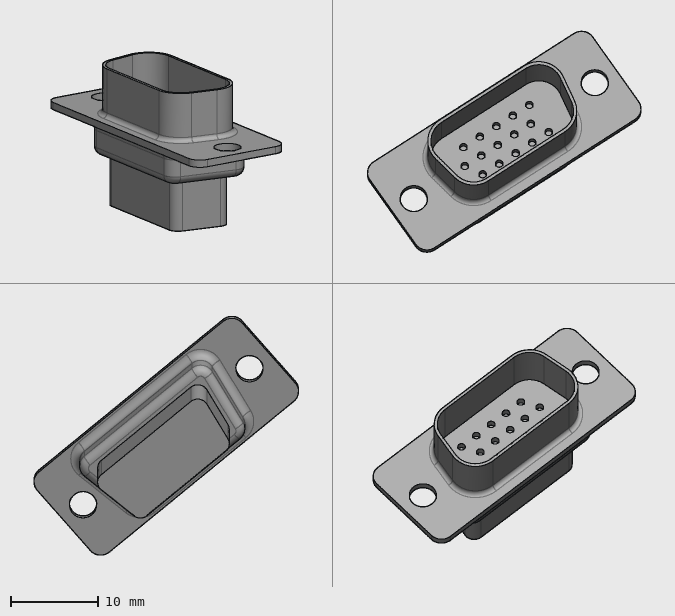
import cadquery as cq
import math

SHELL_TOP = 5.8
CAVITY_FLOOR = -0.05
FLANGE_THICKNESS = 0.85
FLANGE_BOTTOM = -FLANGE_THICKNESS
BODY_BOTTOM = -4.93
PLUG_BOTTOM = -10.9

FLANGE_LENGTH = 30.8
FLANGE_WIDTH = 12.5
FLANGE_CORNER_RADIUS = 1.55
MOUNT_SPACING = 25.0
MOUNT_DIAMETER = 3.1

DRAFT_ANGLE = 10
SHELL_WIDTH, SHELL_DEPTH, SHELL_CORNER = 17.77, 9.2, 3.05
BODY_WIDTH, BODY_DEPTH, BODY_CORNER = 19.25, 9.95, 1.55
PLUG_WIDTH, PLUG_DEPTH, PLUG_CORNER = 15.85, 7.1, 1.2
SHELL_WALL = 0.37
SHELL_FILLET = 0.55
BODY_FILLET = 1.02

CONTACT_DIAMETER = 0.85
CONTACT_DEPTH = 0.85
CONTACT_PITCH = 2.28
CONTACTS_PER_ROW = 5
ROW_PITCH = 1.97
OUTER_ROW_X = 0.25
MIDDLE_ROW_X = OUTER_ROW_X - CONTACT_PITCH / 2


def d_section(width, depth, radius, bottom, top):
    """Prism with a D-connector outline: a rounded trapezoid, wider towards +Y."""
    center_y = depth / 2 - radius
    upper_center_x = width / 2 - radius
    lower_center_x = upper_center_x - 2 * center_y * math.tan(math.radians(DRAFT_ANGLE))
    corner_centers = [
        (-upper_center_x, center_y),
        (upper_center_x, center_y),
        (lower_center_x, -center_y),
        (-lower_center_x, -center_y),
    ]
    plane = cq.Workplane("XY", origin=(0, 0, bottom))
    return plane.polyline(corner_centers).close().offset2D(radius).extrude(top - bottom)


def fillet_joint(solid, z, radius):
    """Fillet the inner edges lying at height z, leaving the flange outline sharp."""
    half_x = (FLANGE_LENGTH - MOUNT_DIAMETER) / 2
    margin = 0.03
    half_y = FLANGE_WIDTH / 2 - margin
    joint = cq.selectors.BoxSelector((-half_x, -half_y, z - margin), (half_x, half_y, z + margin))
    return solid.edges(joint).fillet(radius)


def flange():
    plate = cq.Workplane("XY", origin=(0, 0, FLANGE_BOTTOM)).rect(FLANGE_LENGTH, FLANGE_WIDTH)
    return plate.extrude(FLANGE_THICKNESS).edges("|Z").fillet(FLANGE_CORNER_RADIUS)


def body():
    block = d_section(BODY_WIDTH, BODY_DEPTH, BODY_CORNER, BODY_BOTTOM, FLANGE_BOTTOM)
    return block.faces("<Z").edges().fillet(BODY_FILLET)


def shell_cavity():
    return d_section(
        SHELL_WIDTH - 2 * SHELL_WALL,
        SHELL_DEPTH - 2 * SHELL_WALL,
        SHELL_CORNER - SHELL_WALL,
        CAVITY_FLOOR,
        SHELL_TOP,
    )


def contact_holes():
    centers = []
    for row in (-1, 0, 1):
        row_x = MIDDLE_ROW_X if row == 0 else OUTER_ROW_X
        for column in range(CONTACTS_PER_ROW):
            x = row_x + (column - (CONTACTS_PER_ROW - 1) / 2) * CONTACT_PITCH
            centers.append((x, row * ROW_PITCH))
    floor = cq.Workplane("XY", origin=(0, 0, CAVITY_FLOOR))
    return floor.pushPoints(centers).circle(CONTACT_DIAMETER / 2).extrude(-CONTACT_DEPTH)


def mount_holes():
    centers = [(-MOUNT_SPACING / 2, 0), (MOUNT_SPACING / 2, 0)]
    return cq.Workplane("XY").pushPoints(centers).circle(MOUNT_DIAMETER / 2).extrude(FLANGE_BOTTOM)


shell = d_section(SHELL_WIDTH, SHELL_DEPTH, SHELL_CORNER, FLANGE_BOTTOM, SHELL_TOP)
result = fillet_joint(flange().union(shell), 0, SHELL_FILLET)

result = fillet_joint(result.union(body()), FLANGE_BOTTOM, BODY_FILLET)

result = result.union(d_section(PLUG_WIDTH, PLUG_DEPTH, PLUG_CORNER, PLUG_BOTTOM, BODY_BOTTOM))

result = result.cut(shell_cavity()).cut(contact_holes()).cut(mount_holes())